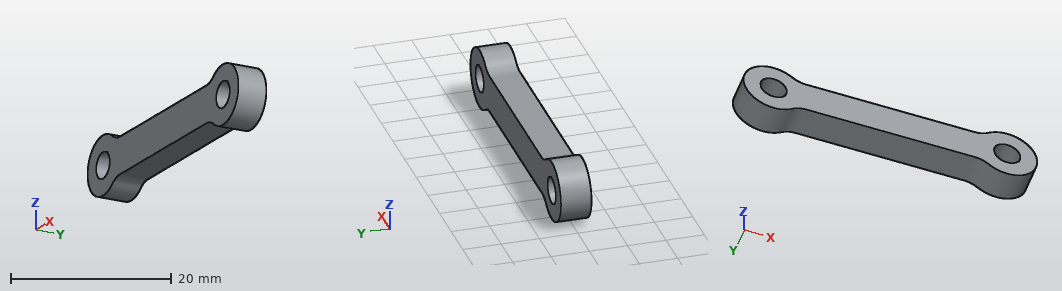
import cadquery as cq
import math

thickness = 4.0
eye_spacing = 31.0
eye_diameter = 8.0
hole_diameter = 3.5
bar_height = 5.0
neck_radius = 3.0

eye_radius = eye_diameter / 2
eye_x = eye_spacing / 2
bar_half = bar_height / 2
front_y = -thickness / 2

neck_center_z = bar_half + neck_radius
neck_center_x = math.sqrt((eye_radius + neck_radius) ** 2 - neck_center_z ** 2)
eye_share = eye_radius / (eye_radius + neck_radius)
eye_tangent_x = eye_x - neck_center_x * eye_share
eye_tangent_z = neck_center_z * eye_share
bar_tangent_x = eye_x - neck_center_x

neck_mid_angle = (math.atan2(neck_center_z, neck_center_x) + math.pi / 2) / 2
neck_mid_x = bar_tangent_x + neck_radius * math.cos(neck_mid_angle)
neck_mid_z = neck_center_z - neck_radius * math.sin(neck_mid_angle)


def link_body():
    """Plate with a round eye at each end, blended into a straight bar."""
    return (
        cq.Workplane("XZ", origin=(0, front_y, 0))
        .moveTo(-bar_tangent_x, bar_half)
        .lineTo(bar_tangent_x, bar_half)
        .threePointArc((neck_mid_x, neck_mid_z), (eye_tangent_x, eye_tangent_z))
        .threePointArc((eye_x + eye_radius, 0), (eye_tangent_x, -eye_tangent_z))
        .threePointArc((neck_mid_x, -neck_mid_z), (bar_tangent_x, -bar_half))
        .lineTo(-bar_tangent_x, -bar_half)
        .threePointArc((-neck_mid_x, -neck_mid_z), (-eye_tangent_x, -eye_tangent_z))
        .threePointArc((-eye_x - eye_radius, 0), (-eye_tangent_x, eye_tangent_z))
        .threePointArc((-neck_mid_x, neck_mid_z), (-bar_tangent_x, bar_half))
        .close()
        .extrude(-thickness)
    )


def pin_holes():
    """Cylinders that cut the through holes, one on each eye axis."""
    return (
        cq.Workplane("XZ", origin=(0, front_y, 0))
        .pushPoints([(-eye_x, 0), (eye_x, 0)])
        .circle(hole_diameter / 2)
        .extrude(-thickness)
    )


result = link_body().cut(pin_holes())